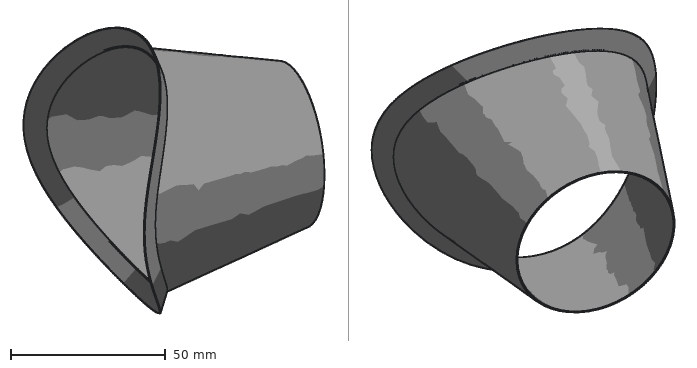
import cadquery as cq
import math

small_end_radius = 27.5
wall_angle = 14.0
wall_thickness = 0.5

saddle_radius = 64.2
saddle_apex_depth = 49.2
flange_thickness = 0.5

rim_width = 98.8
rim_height = 92.8
rim_bend_radius = 69.2
rim_apex_depth = 52.0

curve_points = 48
solver_steps = 40

wall_slope = math.tan(math.radians(wall_angle))
bore_radius = small_end_radius - wall_thickness


def arc_drop(radius, offset):
    """Fall of an arc below its apex at a sideways offset."""
    return radius - math.sqrt(radius**2 - offset**2)


def saddle_point(angle, end_radius, below):
    """Point where a cone wall meets the saddle cylinder shrunk by `below`."""
    depth = saddle_apex_depth
    for _ in range(solver_steps):
        radius = end_radius + wall_slope * depth
        drop = arc_drop(saddle_radius - below, radius * math.cos(angle))
        depth = saddle_apex_depth + below + drop
    return cq.Vector(radius * math.cos(angle), radius * math.sin(angle), -depth)


def wall_root(angle):
    return saddle_point(angle, small_end_radius, 0)


def flange_underside_root(angle):
    return saddle_point(angle, small_end_radius, flange_thickness)


def bore_end(angle):
    return saddle_point(angle, bore_radius, flange_thickness)


def rim_top(angle):
    x = rim_width / 2 * math.cos(angle)
    y = rim_height / 2 * math.sin(angle)
    return cq.Vector(x, y, -rim_apex_depth - arc_drop(rim_bend_radius, x))


def rim_bottom(angle):
    """Rim point moved through the flange thickness, square to the flange."""
    tip = rim_top(angle)
    outward = tip - wall_root(angle)
    around = cq.Vector(-math.sin(angle), math.cos(angle), 0)
    return tip + around.cross(outward).normalized() * flange_thickness


def closed_curve(point_at):
    angles = [2 * math.pi * i / curve_points for i in range(curve_points + 1)]
    points = [point_at(angle) for angle in angles[:-1]]
    return cq.Edge.makeSpline(points, periodic=True, parameters=angles)


section_edges = [
    cq.Edge.makeCircle(small_end_radius),
    closed_curve(wall_root),
    closed_curve(rim_top),
    closed_curve(rim_bottom),
    closed_curve(flange_underside_root),
    closed_curve(bore_end),
    cq.Edge.makeCircle(bore_radius),
]
faces = []
for index, edge in enumerate(section_edges):
    next_edge = section_edges[(index + 1) % len(section_edges)]
    faces.append(cq.Face.makeRuledSurface(edge, next_edge))

branch = cq.Solid.makeSolid(cq.Shell.makeShell(faces)).fix()
result = cq.Workplane("XY").add(branch).rotate((0, 0, 0), (1, 0, 0), -90)